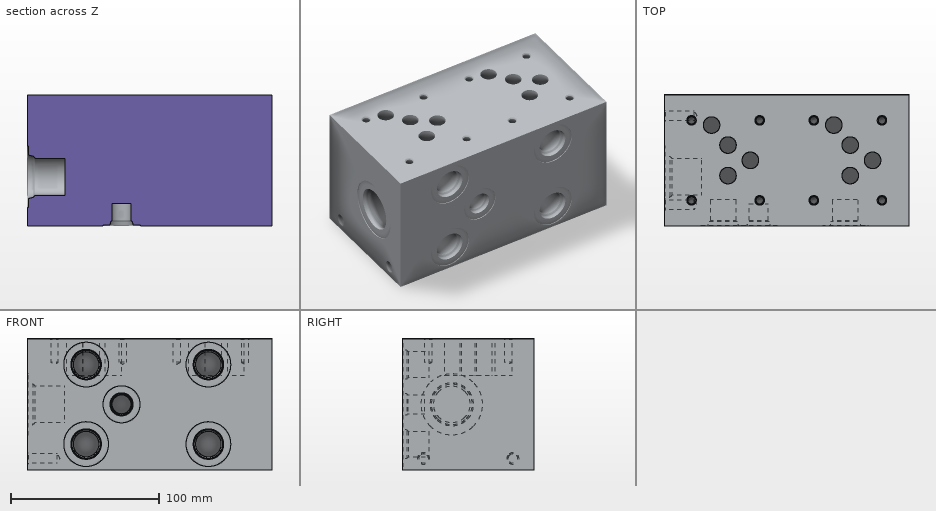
import cadquery as cq
import math


LENGTH = 165.1
WIDTH = 88.9
HEIGHT = 88.9

STATIONS = 2
STATION_PITCH = LENGTH / STATIONS
BOLT_SPACING_X = 46.0
BOLT_SPACING_Y = 54.0
VALVE_PORT_DIAMETER = 11.2
VALVE_PORT_DEPTH = 25.0
VALVE_PORT_OFFSETS = [
    (32.5, 3.2),
    (21.4, 16.7),
    (6.3, BOLT_SPACING_Y / 2),
    (21.4, BOLT_SPACING_Y - 16.7),
]

TOP_BOLT = {"core": 4.98, "mouth": 6.41, "depth": 16.0}
END_BOLT = {"core": 6.41, "mouth": 8.0, "depth": 20.0}
COUNTERSINK_HALF_ANGLE = 45.0
DRILL_POINT_HALF_ANGLE = 59.0
END_BOLT_SPACING = 60.3
END_BOLT_HEIGHT = 7.9

SEAT_HALF_ANGLE = 15.0
STEP_HALF_ANGLE = 45.0
SPOTFACE_DEPTH = 0.5
WORK_PORT = {"spotface": 30.25, "mouth": 20.6, "bore": 17.33, "seat": 2.5, "depth": 18.0}
GAUGE_PORT = {"spotface": 25.02, "mouth": 15.6, "bore": 12.76, "seat": 2.5, "depth": 15.0}
PRESSURE_PORT = {"spotface": 41.45, "mouth": 29.2, "bore": 24.7, "seat": 3.3, "depth": 25.0}

WORK_PORT_FROM_END = 39.6
WORK_PORT_FROM_EDGE = 17.6
GAUGE_PORT_FROM_END = 63.5
PRESSURE_PORT_FROM_FRONT = 33.34


def tangent(degrees):
    return math.tan(math.radians(degrees))


def revolved_cutter(profile, face):
    """Turn (radius, depth) points about the inward axis of a face; the origin is on the face."""
    cutter = cq.Workplane("XZ").polyline([(r, -d) for r, d in profile]).close()
    cutter = cutter.revolve(360, (0, 0, 0), (0, 1, 0))
    if face == "front":
        return cutter.rotate((0, 0, 0), (1, 0, 0), 90)
    if face == "end":
        return cutter.rotate((0, 0, 0), (0, 1, 0), -90)
    return cutter


def tapped_hole_cutter(size, face):
    core = size["core"] / 2
    mouth = size["mouth"] / 2
    depth = size["depth"]
    sink_depth = (mouth - core) / tangent(COUNTERSINK_HALF_ANGLE)
    tip_depth = depth + core / tangent(DRILL_POINT_HALF_ANGLE)
    profile = [(0, 0), (mouth, 0), (core, sink_depth), (core, depth), (0, tip_depth)]
    return revolved_cutter(profile, face)


def port_cutter(size, face):
    spotface = size["spotface"] / 2
    mouth = size["mouth"] / 2
    bore = size["bore"] / 2
    seat_end = SPOTFACE_DEPTH + size["seat"]
    seat_radius = mouth - size["seat"] * tangent(SEAT_HALF_ANGLE)
    step_end = seat_end + (seat_radius - bore) / tangent(STEP_HALF_ANGLE)
    profile = [
        (0, 0),
        (spotface, 0),
        (spotface, SPOTFACE_DEPTH),
        (mouth, SPOTFACE_DEPTH),
        (seat_radius, seat_end),
        (bore, step_end),
        (bore, size["depth"]),
        (0, size["depth"]),
    ]
    return revolved_cutter(profile, face)


def cut_at(body, cutter, points):
    for point in points:
        body = body.cut(cutter.translate(point))
    return body


def cut_valve_stations(body):
    top = HEIGHT / 2
    bolt = tapped_hole_cutter(TOP_BOLT, "top")
    port_radius = VALVE_PORT_DIAMETER / 2
    port_profile = [(0, 0), (port_radius, 0), (port_radius, VALVE_PORT_DEPTH), (0, VALVE_PORT_DEPTH)]
    port = revolved_cutter(port_profile, "top")
    half_x = BOLT_SPACING_X / 2
    half_y = BOLT_SPACING_Y / 2
    for station in range(STATIONS):
        centre_x = (station + 0.5) * STATION_PITCH - LENGTH / 2
        bolts = [(centre_x + x, y, top) for x in (-half_x, half_x) for y in (-half_y, half_y)]
        ports = [(centre_x + half_x - dx, half_y - dy, top) for dx, dy in VALVE_PORT_OFFSETS]
        body = cut_at(body, bolt, bolts)
        body = cut_at(body, port, ports)
    return body


def cut_front_ports(body):
    front = -WIDTH / 2
    port_z = HEIGHT / 2 - WORK_PORT_FROM_EDGE
    first_x = WORK_PORT_FROM_END - LENGTH / 2
    work_points = [
        (first_x + station * STATION_PITCH, front, z)
        for station in range(STATIONS)
        for z in (-port_z, port_z)
    ]
    gauge_points = [(GAUGE_PORT_FROM_END - LENGTH / 2, front, 0)]
    body = cut_at(body, port_cutter(WORK_PORT, "front"), work_points)
    return cut_at(body, port_cutter(GAUGE_PORT, "front"), gauge_points)


def cut_end_face(body):
    end = -LENGTH / 2
    pressure_points = [(end, PRESSURE_PORT_FROM_FRONT - WIDTH / 2, 0)]
    bolt_z = END_BOLT_HEIGHT - HEIGHT / 2
    bolt_points = [(end, side * END_BOLT_SPACING / 2, bolt_z) for side in (-1, 1)]
    body = cut_at(body, port_cutter(PRESSURE_PORT, "end"), pressure_points)
    return cut_at(body, tapped_hole_cutter(END_BOLT, "end"), bolt_points)


block = cq.Workplane("XY").box(LENGTH, WIDTH, HEIGHT)
block = cut_valve_stations(block)
block = cut_front_ports(block)
result = cut_end_face(block)